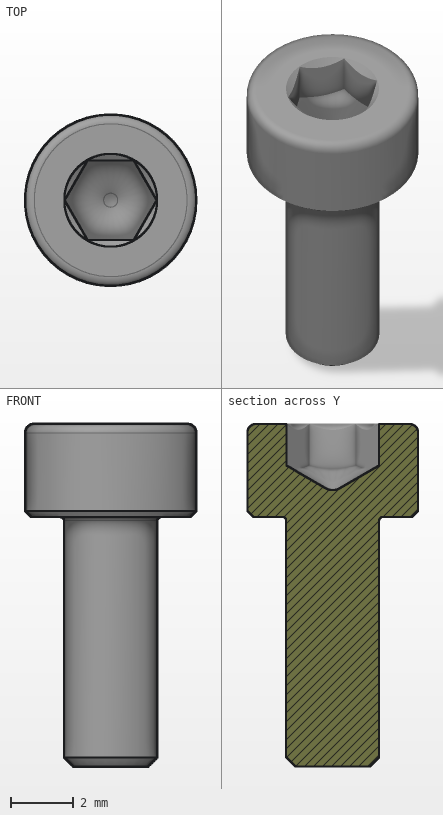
import cadquery as cq
import math

shank_diameter = 3.0
shank_length = 8.0
head_diameter = 5.5
head_height = 3.0

thread_minor_diameter = 2.387
tip_chamfer = (shank_diameter - thread_minor_diameter) / 2
head_top_fillet = 0.3
head_bottom_chamfer = 0.2
neck_fillet = 0.1

socket_across_flats = 2.56
socket_across_corners = socket_across_flats / math.cos(math.pi / 6)
socket_corner_radius = socket_across_corners / 2
socket_wall_depth = 1.34
mouth_radius = 1.49
lead_in_angle = math.radians(45)
floor_slope = math.radians(30)
floor_nose_radius = 0.45

tip_z = -shank_length
seat_z = 0.0
head_top_z = head_height
wall_bottom_z = head_top_z - socket_wall_depth


def make_shank():
    """Plain cylinder, chamfered at its free end."""
    shank = cq.Workplane("XY", origin=(0, 0, tip_z)).circle(shank_diameter / 2).extrude(shank_length)
    return shank.faces("<Z").chamfer(tip_chamfer)


def make_head():
    """Cylindrical head with a rounded top rim and a chamfered bottom rim."""
    head = cq.Workplane("XY", origin=(0, 0, seat_z)).circle(head_diameter / 2).extrude(head_height)
    head = head.faces(">Z").edges().fillet(head_top_fillet)
    return head.faces("<Z").edges().chamfer(head_bottom_chamfer)


def round_neck(screw):
    """Fillet the inside corner between the shank and the underside of the head."""
    reach = shank_diameter / 2 + neck_fillet
    neck_edge = cq.selectors.BoxSelector(
        (-reach, -reach, seat_z - neck_fillet),
        (reach, reach, seat_z + neck_fillet),
        boundingbox=True,
    )
    return screw.edges(neck_edge).fillet(neck_fillet)


def revolve_about_z(profile):
    """Turn a closed XZ profile a full revolution about the screw axis."""
    return profile.revolve(360, (0, 0, 0), (0, 1, 0))


def make_lead_in():
    """Cone pointing down from the socket mouth, breaking the edges of the hexagon."""
    apex_z = head_top_z - mouth_radius * math.tan(lead_in_angle)
    profile = (
        cq.Workplane("XZ")
        .moveTo(0, head_top_z)
        .lineTo(mouth_radius, head_top_z)
        .lineTo(0, apex_z)
        .close()
    )
    return revolve_about_z(profile)


def make_bore():
    """Round bore through the hexagon corners, with a conical floor ending in a spherical nose."""
    apex_z = wall_bottom_z - socket_corner_radius * math.tan(floor_slope)
    nose_center_z = apex_z + floor_nose_radius / math.cos(floor_slope)

    def nose_point(angle):
        return (floor_nose_radius * math.sin(angle), nose_center_z - floor_nose_radius * math.cos(angle))

    profile = (
        cq.Workplane("XZ")
        .moveTo(0, head_top_z)
        .lineTo(socket_corner_radius, head_top_z)
        .lineTo(socket_corner_radius, wall_bottom_z)
        .lineTo(*nose_point(floor_slope))
        .threePointArc(nose_point(floor_slope / 2), nose_point(0))
        .close()
    )
    return revolve_about_z(profile)


def make_socket():
    """Hexagonal hole with a cone-shaped floor and a conical lead-in at its mouth."""
    prism = (
        cq.Workplane("XY", origin=(0, 0, head_top_z))
        .polygon(6, socket_across_corners)
        .extrude(-head_height)
    )
    return prism.intersect(make_bore()).union(make_lead_in())


screw = round_neck(make_shank().union(make_head()))
result = screw.cut(make_socket())